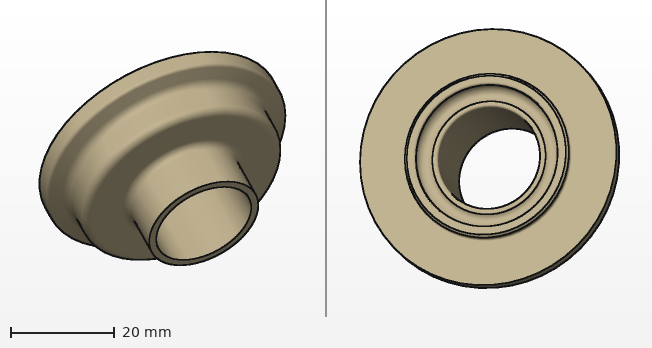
import cadquery as cq
import math

lip_face_x = -1.8
part_length = 23.5
hub_end_x = lip_face_x + part_length
flange_edge_x = 2.9
shoulder_x = 11.75
inner_rim_x = 0.5

flange_r = 50.5 / 2
body_r = 42.0 / 2
lip_r = 32.3 / 2
hub_r = 23.0 / 2
bore_r = 20.0 / 2
gutter_outer_r = 13.95
gutter_inner_r = 11.15
gutter_round = 1.75

flange_round = 0.8
cone_lean_deg = 20
body_root_fillet = 1.95
body_round = 1.7
hub_root_fillet = 1.6
lip_chamfer = 0.5
lip_root_fillet = 0.4
lip_inner_round = 0.55
bore_round = 0.5
rim_round = 0.3


def on_circle(center, radius, angle_deg):
    """Point on a circle in the X-R plane; the angle is measured from +X towards +R."""
    angle = math.radians(angle_deg)
    return (center[0] + radius * math.cos(angle), center[1] + radius * math.sin(angle))


def arc(outline, center, radius, start_deg, end_deg):
    """Extend the outline, already at the start of the arc, along the arc."""
    middle = on_circle(center, radius, (start_deg + end_deg) / 2)
    return outline.threePointArc(middle, on_circle(center, radius, end_deg))


def line_and_arc(outline, center, radius, start_deg, end_deg):
    """Extend the outline straight to the start of the arc, then along the arc."""
    outline = outline.lineTo(*on_circle(center, radius, start_deg))
    return arc(outline, center, radius, start_deg, end_deg)


cone_lean = math.radians(cone_lean_deg)
flange_round_center = (flange_edge_x, flange_r - flange_round)
root_center_r = body_r + body_root_fillet
center_drop = flange_round_center[1] - root_center_r
root_center_x = flange_edge_x + (
    flange_round + body_root_fillet + center_drop * math.sin(cone_lean)
) / math.cos(cone_lean)

lip_mouth = (lip_face_x + lip_inner_round, gutter_outer_r)

profile = cq.Workplane("XY").moveTo(0, flange_r)

profile = line_and_arc(profile, flange_round_center, flange_round, 90, cone_lean_deg)
profile = line_and_arc(profile, (root_center_x, root_center_r), body_root_fillet, 180 + cone_lean_deg, 270)
profile = line_and_arc(profile, (shoulder_x - body_round, body_r - body_round), body_round, 90, 0)
hub_root_center = (shoulder_x + hub_root_fillet, hub_r + hub_root_fillet)
profile = line_and_arc(profile, hub_root_center, hub_root_fillet, 180, 270)
profile = profile.lineTo(hub_end_x, hub_r).lineTo(hub_end_x, bore_r)

profile = line_and_arc(profile, (inner_rim_x + bore_round, bore_r + bore_round), bore_round, 270, 180)
profile = line_and_arc(profile, (inner_rim_x + rim_round, gutter_inner_r - rim_round), rim_round, 180, 90)
profile = profile.radiusArc(lip_mouth, -gutter_round)

profile = arc(profile, (lip_mouth[0], gutter_outer_r + lip_inner_round), lip_inner_round, 270, 180)
profile = profile.lineTo(lip_face_x, lip_r - lip_chamfer).lineTo(lip_face_x + lip_chamfer, lip_r)
profile = line_and_arc(profile, (-lip_root_fillet, lip_r + lip_root_fillet), lip_root_fillet, 270, 360)
profile = profile.close()

result = profile.revolve(360, (0, 0, 0), (1, 0, 0))